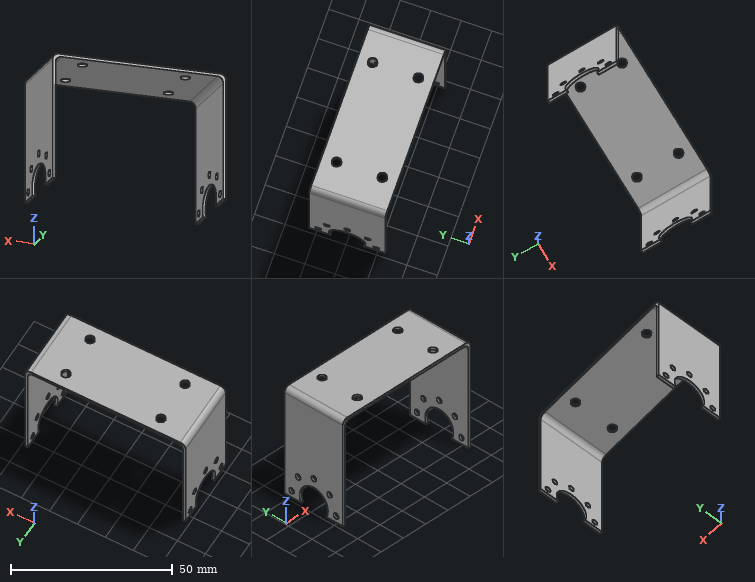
import cadquery as cq

length = 57.3
width = 25.0
height = 41.0
thickness = 1.0
bend_radius = 2.0

mount_spacing_x = 34.0
mount_spacing_y = 15.0
mount_diameter = 3.0

shaft_radius = 6.0
shaft_height = 2.5
screw_circle_radius = 9.5
screw_diameter = 2.0
screw_count = 5
screw_arc = 180.0


def bent_sheet():
    """U-shaped sheet, open at the bottom, standing on Z = 0."""
    outer = cq.Workplane("XY").box(length, width, height, centered=(True, True, False))
    outer = outer.edges("|Y and >Z").fillet(bend_radius)
    inner = cq.Workplane("XY").box(
        length - 2 * thickness, width, height - thickness, centered=(True, True, False)
    )
    inner = inner.edges("|Y and >Z").fillet(bend_radius)
    return outer.cut(inner)


def mount_holes():
    """Four vertical cutters through the top plate."""
    return (
        cq.Workplane("XY")
        .workplane(offset=height - 2 * thickness)
        .rect(mount_spacing_x, mount_spacing_y, forConstruction=True)
        .vertices()
        .circle(mount_diameter / 2)
        .extrude(3 * thickness)
    )


def leg_cutters():
    """Shaft opening and half ring of screw holes, running through both legs."""
    shaft_plane = cq.Workplane("YZ", origin=(0, 0, shaft_height))
    shaft = shaft_plane.circle(shaft_radius).extrude(length, both=True)
    screws = (
        shaft_plane.polarArray(screw_circle_radius, 0, screw_arc, screw_count)
        .circle(screw_diameter / 2)
        .extrude(length, both=True)
    )
    return shaft.union(screws)


result = bent_sheet().cut(mount_holes()).cut(leg_cutters())